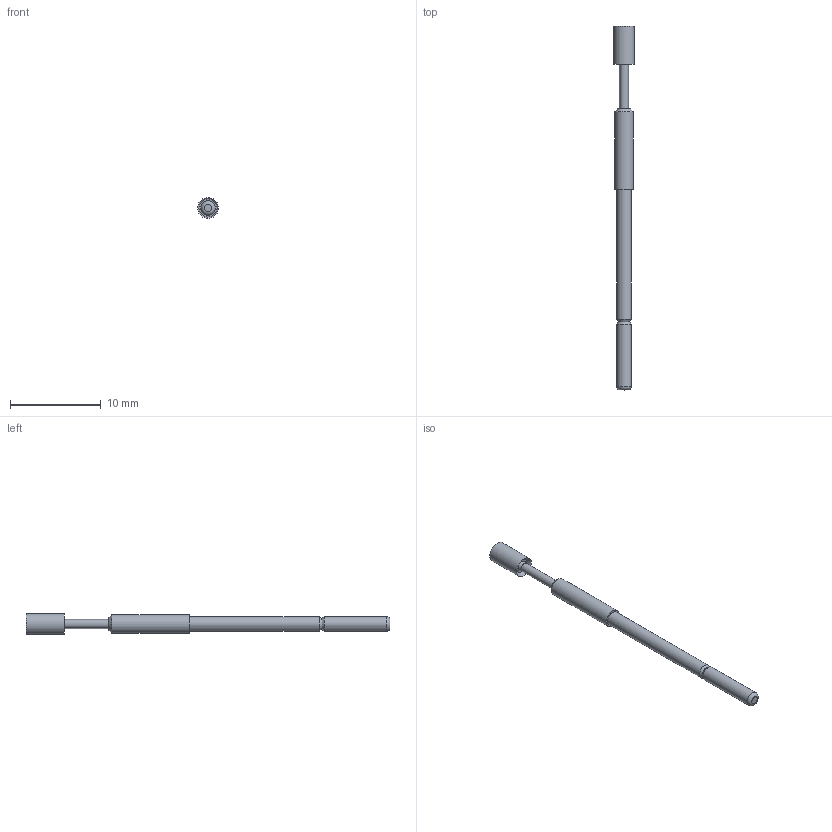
import cadquery as cq

total_length = 40.1
head_diameter = 2.3
head_length = 4.2
recess_floor_diameter = 1.6
stem_root_diameter = 1.2
recess_depth = 0.35
stem_diameter = 1.0
collar_diameter = 2.0
collar_start = 9.1
collar_end = 18.0
collar_chamfer_length = 0.35
collar_chamfer_depth = 0.3
barrel_diameter = 1.6
groove_middle = 32.58
groove_width = 0.55
groove_depth = 0.18
tip_radius = 0.38


def along(distance):
    """Y position of a point at a given distance from the head face."""
    return total_length / 2 - distance


def cylinder(diameter, start, end):
    """Cylinder on the Y axis between two distances from the head face."""
    base = cq.Workplane("XZ", origin=(0, along(start), 0))
    return base.circle(diameter / 2).extrude(end - start)


def revolved(outline):
    """Ring or cone swept around the Y axis from (radius, distance) corners."""
    corners = [(radius, along(distance)) for radius, distance in outline]
    return cq.Workplane("XY").polyline(corners).close().revolve(360, (0, 0, 0), (0, 1, 0))


def make_head():
    """Plunger head with a ring-shaped recess in its stem-side face, around a tapered stem root."""
    recess_floor = head_length - recess_depth
    recess = revolved([
        (stem_diameter / 2, head_length),
        (stem_root_diameter / 2, recess_floor),
        (recess_floor_diameter / 2, recess_floor),
        (head_diameter / 2, head_length),
    ])
    return cylinder(head_diameter, 0, head_length).cut(recess)


def make_stem():
    """Thin plunger stem from the head to the collar."""
    return cylinder(stem_diameter, head_length, collar_start)


def make_collar():
    """Collar with a chamfer on its stem-side edge."""
    collar = cylinder(collar_diameter, collar_start, collar_end)
    return collar.faces(">Y").chamfer(collar_chamfer_length, collar_chamfer_depth)


def make_barrel():
    """Long barrel with a V groove and a rounded tip."""
    radius = barrel_diameter / 2
    barrel = cylinder(barrel_diameter, collar_end, total_length)
    barrel = barrel.faces("<Y").edges().fillet(tip_radius)
    groove = revolved([
        (radius, groove_middle - groove_width / 2),
        (radius - groove_depth, groove_middle),
        (radius, groove_middle + groove_width / 2),
    ])
    return barrel.cut(groove)


result = make_head().union(make_stem()).union(make_collar()).union(make_barrel())